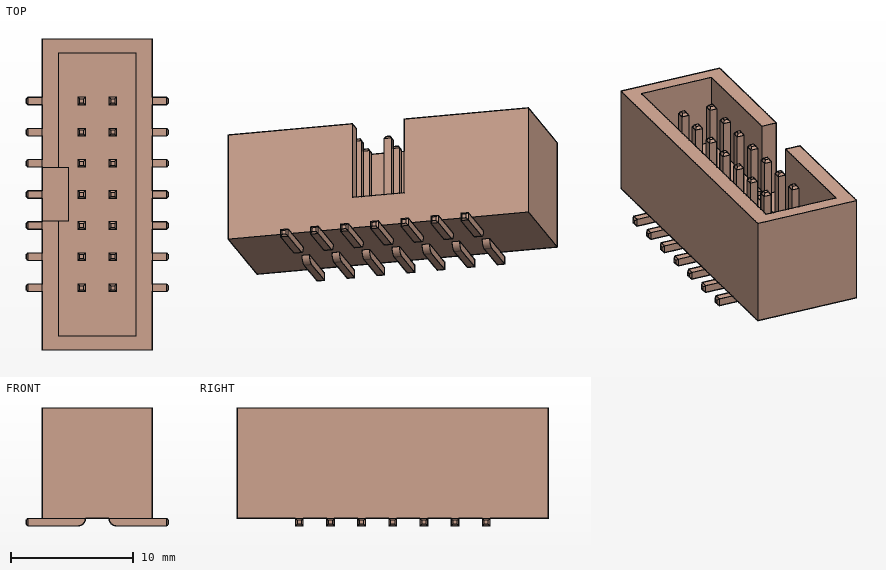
import cadquery as cq


housing_length = 25.4
housing_width = 9.0
overall_height = 9.65
lead_span = 11.6

cavity_length = 23.11
cavity_width = 6.35
cavity_depth = 6.0

notch_width = 4.37
notch_reach = 2.13
notch_depth = 6.38

pins_per_row = 7
pitch = 2.55
pin_size = 0.64
tip_inset = 0.15
pin_tip_length = 0.23
lead_tip_length = 0.15
pin_top_gap = 0.25

housing_bottom = pin_size
housing_height = overall_height - housing_bottom
cavity_floor = overall_height - cavity_depth
tip_size = pin_size - 2 * tip_inset


def make_housing():
    """Open-topped box with the polarising notch cut through one long wall."""
    body = cq.Workplane("XY", origin=(0, 0, housing_bottom)).box(
        housing_width, housing_length, housing_height, centered=(True, True, False)
    )
    cavity = cq.Workplane("XY", origin=(0, 0, cavity_floor)).box(
        cavity_width, cavity_length, cavity_depth, centered=(True, True, False)
    )
    notch_corner = (-housing_width / 2, 0, overall_height - notch_depth)
    notch = cq.Workplane("XY", origin=notch_corner).box(
        notch_reach, notch_width, notch_depth, centered=(False, True, False)
    )
    return body.cut(cavity).cut(notch)


def tapered_bar(start_plane, length, tip_length):
    """Square bar along the plane normal, narrowing to a blunt tip at its far end."""
    shank_length = length - tip_length
    shank = cq.Workplane(start_plane).rect(pin_size, pin_size).extrude(shank_length)
    tip = (
        shank.faces(cq.selectors.DirectionMinMaxSelector(start_plane.zDir))
        .workplane(centerOption="CenterOfMass")
        .rect(pin_size, pin_size)
        .workplane(offset=tip_length)
        .rect(tip_size, tip_size)
        .loft(combine=False)
    )
    return shank.union(tip)


def make_contact():
    """L-shaped contact of the +X row: upright pin, rounded heel, outward lead."""
    pin_x = pitch / 2
    heel_x = pin_x - pin_size / 2
    lead_plane = cq.Plane(origin=(heel_x, 0, pin_size / 2), xDir=(0, 1, 0), normal=(1, 0, 0))
    lead = tapered_bar(lead_plane, lead_span / 2 - heel_x, lead_tip_length)

    bend_radius = pin_size
    lead_depth = pin_size
    corner = (
        cq.Workplane("XZ", origin=(0, lead_depth / 2, 0))
        .moveTo(heel_x, 0)
        .lineTo(heel_x, bend_radius)
        .radiusArc((heel_x + bend_radius, 0), -bend_radius)
        .close()
        .extrude(lead_depth)
    )
    lead = lead.cut(corner)

    pin_plane = cq.Plane(origin=(pin_x, 0, housing_bottom), xDir=(1, 0, 0), normal=(0, 0, 1))
    pin = tapered_bar(pin_plane, housing_height - pin_top_gap, pin_tip_length)
    return lead.union(pin)


result = make_housing()
right_contact = make_contact()
left_contact = right_contact.mirror("YZ")
for index in range(pins_per_row):
    y = (index - (pins_per_row - 1) / 2) * pitch
    for contact in (left_contact, right_contact):
        result = result.union(contact.translate((0, y, 0)))